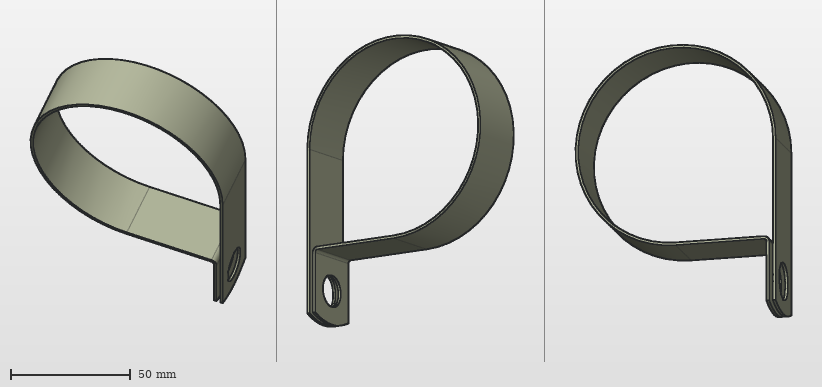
import cadquery as cq
import math

loop_outer_radius = 43.28
strip_thickness = 1.21
strip_width = 25.4
leg_gap = 1.59
bend_inner_radius = 1.19
leg_drop = 29.72
tip_rise = 2.95
hole_diameter = 13.5
slot_length = 15.88
hole_above_tip = 14.29

loop_inner_radius = loop_outer_radius - strip_thickness
tip_z = -loop_outer_radius - leg_drop
hole_z = tip_z + hole_above_tip
half_width = strip_width / 2
short_leg_outer_x = loop_inner_radius - leg_gap
short_leg_inner_x = short_leg_outer_x - strip_thickness
gap_middle_x = loop_inner_radius - leg_gap / 2
bend_outer_radius = bend_inner_radius + strip_thickness
bend_x = short_leg_inner_x - bend_inner_radius
bend_z = -loop_outer_radius - bend_inner_radius


def arc_point(center_x, center_z, radius, angle_degrees):
    """Point on a circle in the XZ plane."""
    angle = math.radians(angle_degrees)
    return (center_x + radius * math.cos(angle), center_z + radius * math.sin(angle))


def bent_strip():
    """Constant-thickness strip: long leg, three-quarter loop, flat and bent short leg."""
    return (
        cq.Workplane("XZ")
        .moveTo(loop_outer_radius, tip_z)
        .lineTo(loop_outer_radius, 0)
        .threePointArc(arc_point(0, 0, loop_outer_radius, 135), (0, -loop_outer_radius))
        .lineTo(bend_x, -loop_outer_radius)
        .threePointArc(arc_point(bend_x, bend_z, bend_inner_radius, 45), (short_leg_inner_x, bend_z))
        .lineTo(short_leg_inner_x, tip_z)
        .lineTo(short_leg_outer_x, tip_z)
        .lineTo(short_leg_outer_x, bend_z)
        .threePointArc(arc_point(bend_x, bend_z, bend_outer_radius, 45), (bend_x, -loop_inner_radius))
        .lineTo(0, -loop_inner_radius)
        .threePointArc(arc_point(0, 0, loop_inner_radius, 135), (loop_inner_radius, 0))
        .lineTo(loop_inner_radius, tip_z)
        .close()
        .extrude(half_width, both=True)
    )


def rounded_tip_envelope():
    """Block around the whole strip whose underside is the arc that rounds both leg tips."""
    corner_z = tip_z + tip_rise
    return (
        cq.Workplane("YZ")
        .moveTo(-half_width, loop_outer_radius)
        .lineTo(-half_width, corner_z)
        .threePointArc((0, tip_z), (half_width, corner_z))
        .lineTo(half_width, loop_outer_radius)
        .close()
        .extrude(loop_outer_radius, both=True)
    )


def short_leg_hole():
    """Cylinder along X that crosses the short leg and ends in the middle of the gap."""
    return (
        cq.Workplane("YZ")
        .center(0, hole_z)
        .circle(hole_diameter / 2)
        .extrude(gap_middle_x)
    )


def long_leg_slot():
    """Vertical slot through the long leg, centered on the hole of the short leg."""
    vertical = 90
    return (
        cq.Workplane("YZ", origin=(gap_middle_x, 0, 0))
        .center(0, hole_z)
        .slot2D(slot_length, hole_diameter, vertical)
        .extrude(loop_outer_radius - gap_middle_x)
    )


strip = bent_strip().intersect(rounded_tip_envelope())
result = strip.cut(short_leg_hole()).cut(long_leg_slot())